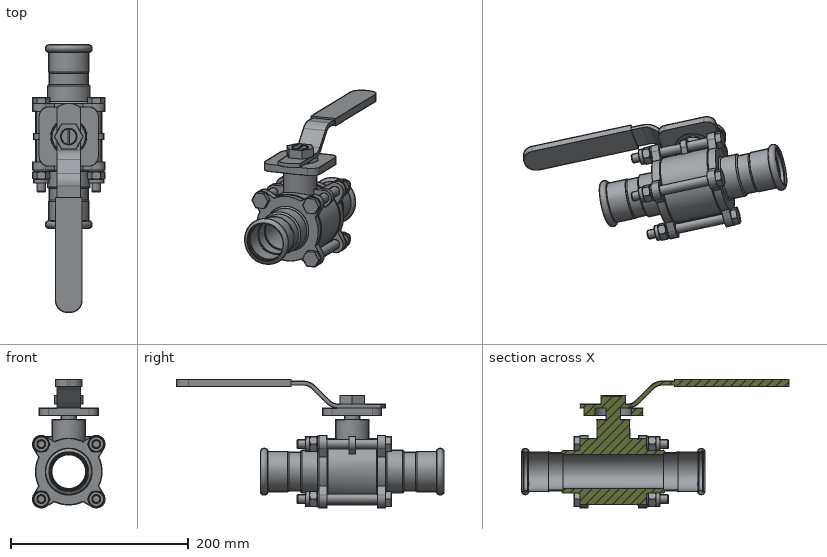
import cadquery as cq
import math


width_x = 81.52
overall_height = 144.76
overall_length = 301.5
pipe_length = 207.0
top_z = overall_height - width_x / 2
handle_end_y = pipe_length / 2 - overall_length

body_diameter = 75.0
flange_inner_y = 28.4
flange_outer_y = 37.5
seam_width = 1.0
seam_depth = 0.8
bore_diameter = 38.0

bolt_circle_diameter = 87.5
diagonal_angle = 45.0
bolt_offset = bolt_circle_diameter / 2 * math.sin(math.radians(diagonal_angle))
flange_lug_radius = width_x / 2 - bolt_offset
lug_flank_angle = 30.0
rod_diameter = 11.0
bolt_diameter = 10.0
bolt_end_y = 62.2
bolt_chamfer = 1.0
hex_flats = 17.0
head_height = 6.5
washer_diameter = 18.0
washer_end_y = 39.3
nut_end_y = 48.2
nut_chamfer_length = 1.3
nut_face_diameter = 16.4
collar_end_y = 52.5

middle_lug_diameter = 17.0
middle_lug_width = 7.0

neck_diameter = 48.3
neck_root_flare = 1.8
neck_end_y = 56.8
middle_tube_diameter = 44.0
middle_tube_start_y = 58.5
middle_tube_end_y = 71.3
press_tube_diameter = 45.4
press_tube_start_y = 73.0
bead_diameter = 52.8
bead_width = 8.8
mouth_diameter = 44.0
mouth_depth = 2.0
seal_diameter = 42.4
seal_width = 4.0
seal_groove_diameter = 45.4
seal_groove_width = 6.0
socket_diameter = 42.7
inner_tube_diameter = 40.5

boss_diameter = 37.5
boss_top_z = 58.7
stem_diameter = 17.0
plate_size = 66.5
plate_corner_radius = 10.5
plate_bottom_z = 63.1
plate_top_z = 71.5
plate_hole_diameter = 40.5

stem_nut_flats = 28.0
stem_nut_height = 10.0
stem_ring_outer_diameter = 18.5
stem_ring_depth = 1.0
stem_slot_width = 1.2

lever_width = 26.6
lever_thickness = 4.5
lever_back_y = 37.4
lever_back_radius = 21.0
first_bend_start_y = -15.2
bend_angle = 45.0
bend_inner_radius = 15.0
handle_width = 30.0
handle_height = 8.4
handle_start_y = -68.7
handle_corner_radius = 13.5

lever_top_z = plate_top_z + lever_thickness


def y_cylinder(diameter, y_start, y_end, x=0, z=0):
    """Cylinder parallel to Y."""
    axis_plane = cq.Plane(origin=(x, y_start, z), xDir=(1, 0, 0), normal=(0, 1, 0))
    return cq.Workplane(axis_plane).circle(diameter / 2).extrude(y_end - y_start)


def z_cylinder(diameter, z_start, z_end):
    """Cylinder on the stem axis."""
    return cq.Workplane("XY").workplane(offset=z_start).circle(diameter / 2).extrude(z_end - z_start)


def across_corners(flats):
    """Corner-to-corner size of a regular hexagon."""
    return flats * 2 / math.sqrt(3)


def y_hexagon(y_start, y_end):
    """Bolt-sized hexagonal prism along Y with flats facing up and down."""
    start_plane = cq.Plane(origin=(0, y_start, 0), xDir=(1, 0, 0), normal=(0, 1, 0))
    return cq.Workplane(start_plane).polygon(6, across_corners(hex_flats)).extrude(y_end - y_start)


def revolve_about_y(profile):
    return profile.close().revolve(360, (0, 0, 0), (0, 1, 0))


def flange_lug(angle):
    """Rounded lug on the first-quadrant diagonal with splayed flanks, turned about Y."""
    flank = math.radians(lug_flank_angle)
    tangent_near = bolt_offset + flange_lug_radius * math.cos(flank)
    tangent_far = bolt_offset - flange_lug_radius * math.sin(flank)
    rounded_tip = bolt_offset + flange_lug_radius * math.sin(math.radians(diagonal_angle))
    foot = tangent_near - tangent_far * math.tan(flank)
    outline = (
        cq.Workplane("XZ", origin=(0, flange_outer_y, 0))
        .moveTo(0, 0)
        .lineTo(0, foot)
        .lineTo(tangent_far, tangent_near)
        .threePointArc((rounded_tip, rounded_tip), (tangent_near, tangent_far))
        .lineTo(foot, 0)
        .close()
    )
    lug = outline.extrude(flange_outer_y - flange_inner_y)
    return lug.rotate((0, 0, 0), (0, 1, 0), angle)


def make_end_flange():
    flange = y_cylinder(body_diameter, flange_inner_y, flange_outer_y)
    for angle in (0, 90, 180, 270):
        flange = flange.union(flange_lug(angle))
    return flange


def make_press_end():
    """Neck, tube and rounded bead of one end, solid."""
    pipe_end_y = pipe_length / 2
    bead_start_y = pipe_end_y - bead_width
    bead_middle_y = pipe_end_y - bead_width / 2
    bead_side_radius = bead_diameter / 2 - bead_width / 2
    profile = (
        cq.Workplane("XY")
        .moveTo(0, flange_inner_y)
        .lineTo(neck_diameter / 2 + neck_root_flare, flange_inner_y)
        .lineTo(neck_diameter / 2 + neck_root_flare, flange_outer_y)
        .lineTo(neck_diameter / 2, flange_outer_y + neck_root_flare)
        .lineTo(neck_diameter / 2, neck_end_y)
        .lineTo(middle_tube_diameter / 2, middle_tube_start_y)
        .lineTo(middle_tube_diameter / 2, middle_tube_end_y)
        .lineTo(press_tube_diameter / 2, press_tube_start_y)
        .lineTo(press_tube_diameter / 2, bead_start_y)
        .threePointArc((bead_diameter / 2, bead_middle_y), (bead_side_radius, pipe_end_y))
        .lineTo(0, pipe_end_y)
    )
    return revolve_about_y(profile)


def make_press_end_bore():
    """Stepped cavity of one end: mouth, groove with its seal ring, pipe socket and inner tube."""
    pipe_end_y = pipe_length / 2
    groove_outer_y = pipe_end_y - mouth_depth
    groove_inner_y = groove_outer_y - seal_groove_width
    seal_gap = (seal_groove_width - seal_width) / 2
    return (
        y_cylinder(mouth_diameter, groove_outer_y, pipe_end_y)
        .union(y_cylinder(seal_groove_diameter, groove_outer_y - seal_gap, groove_outer_y))
        .union(y_cylinder(seal_diameter, groove_inner_y + seal_gap, groove_outer_y - seal_gap))
        .union(y_cylinder(seal_groove_diameter, groove_inner_y, groove_inner_y + seal_gap))
        .union(y_cylinder(socket_diameter, press_tube_start_y, groove_inner_y))
        .union(y_cylinder(inner_tube_diameter, neck_end_y, press_tube_start_y))
    )


def on_both_ends(shape):
    return shape.union(shape.mirror("XZ"))


def make_nut():
    """Hexagon nut along -Y with both ends bevelled down to a round face."""
    corner_radius = across_corners(hex_flats) / 2
    face_radius = nut_face_diameter / 2
    bevel = (
        cq.Workplane("XY")
        .moveTo(0, -washer_end_y)
        .lineTo(face_radius, -washer_end_y)
        .lineTo(corner_radius, -washer_end_y - nut_chamfer_length)
        .lineTo(corner_radius, -nut_end_y + nut_chamfer_length)
        .lineTo(face_radius, -nut_end_y)
        .lineTo(0, -nut_end_y)
    )
    return y_hexagon(-nut_end_y, -washer_end_y).intersect(revolve_about_y(bevel))


def make_bolt():
    """Hexagon bolt with head at +Y and washer, nut and locking collar at -Y."""
    rod = y_cylinder(rod_diameter, -flange_outer_y, flange_outer_y)
    tip = y_cylinder(bolt_diameter, -bolt_end_y, -flange_outer_y).faces("<Y").chamfer(bolt_chamfer)
    head = y_hexagon(flange_outer_y, flange_outer_y + head_height)
    washer = y_cylinder(washer_diameter, -washer_end_y, -flange_outer_y)
    collar = y_cylinder(hex_flats, -collar_end_y, -nut_end_y)
    return rod.union(tip).union(head).union(washer).union(make_nut()).union(collar)


def make_middle_lugs():
    """Flat-topped bar across the body with a rounded lug around each upper bolt."""
    half_width = middle_lug_width / 2
    lug_radius = middle_lug_diameter / 2
    lug_top = bolt_offset + lug_radius
    bar = cq.Workplane("XY").box(2 * bolt_offset, middle_lug_width, lug_top, centered=(True, True, False))
    web_length = bolt_circle_diameter / 2
    for side in (-1, 1):
        lug = y_cylinder(middle_lug_diameter, -half_width, half_width, side * bolt_offset, bolt_offset)
        web = (
            cq.Workplane("XY")
            .box(middle_lug_diameter, middle_lug_width, web_length, centered=(True, True, False))
            .rotate((0, 0, 0), (0, 1, 0), side * diagonal_angle)
        )
        outer_clearance = (
            cq.Workplane("XY")
            .box(bolt_offset, middle_lug_width, 2 * bolt_offset)
            .translate((lug_radius + bolt_offset / 2, 0, 0))
            .rotate((0, 0, 0), (0, 1, 0), diagonal_angle)
        )
        if side < 0:
            outer_clearance = outer_clearance.mirror("YZ")
        bar = bar.cut(outer_clearance).union(lug).union(web)
    return bar


def make_plate():
    height = plate_top_z - plate_bottom_z
    plate = cq.Workplane("XY").box(plate_size, plate_size, height, centered=(True, True, False))
    plate = plate.edges("|Z").fillet(plate_corner_radius).translate((0, 0, plate_bottom_z))
    return plate.cut(z_cylinder(plate_hole_diameter, plate_bottom_z, plate_top_z))


def make_lever():
    """Flat strip cranked upward by two equal bends, rounded at its back end."""
    angle = math.radians(bend_angle)
    sine, cosine = math.sin(angle), math.cos(angle)
    half_sine, half_cosine = math.sin(angle / 2), math.cos(angle / 2)
    outer_radius = bend_inner_radius + lever_thickness
    upper_top_z = top_z - (handle_height - lever_thickness) / 2
    first_centre = (first_bend_start_y, lever_top_z + bend_inner_radius)
    second_centre_z = upper_top_z - outer_radius
    centre_drop = first_centre[1] - second_centre_z
    centre_run = (bend_inner_radius + outer_radius - centre_drop * cosine) / sine
    second_centre = (first_centre[0] - centre_run, second_centre_z)

    def first_bend(radius, s, c):
        return (first_centre[0] - radius * s, first_centre[1] - radius * c)

    def second_bend(radius, s, c):
        return (second_centre[0] + radius * s, second_centre[1] + radius * c)

    side_outline = (
        cq.Workplane("YZ", origin=(-lever_width / 2, 0, 0))
        .moveTo(lever_back_y, lever_top_z)
        .lineTo(*first_bend(bend_inner_radius, 0, 1))
        .threePointArc(
            first_bend(bend_inner_radius, half_sine, half_cosine),
            first_bend(bend_inner_radius, sine, cosine),
        )
        .lineTo(*second_bend(outer_radius, sine, cosine))
        .threePointArc(second_bend(outer_radius, half_sine, half_cosine), second_bend(outer_radius, 0, 1))
        .lineTo(handle_start_y, upper_top_z)
        .lineTo(handle_start_y, upper_top_z - lever_thickness)
        .lineTo(*second_bend(bend_inner_radius, 0, 1))
        .threePointArc(
            second_bend(bend_inner_radius, half_sine, half_cosine),
            second_bend(bend_inner_radius, sine, cosine),
        )
        .lineTo(*first_bend(outer_radius, sine, cosine))
        .threePointArc(first_bend(outer_radius, half_sine, half_cosine), first_bend(outer_radius, 0, 1))
        .lineTo(lever_back_y, plate_top_z)
        .close()
    )
    strip = side_outline.extrude(lever_width)
    half_width = lever_width / 2
    back_side_y = lever_back_y - lever_back_radius + math.sqrt(lever_back_radius**2 - half_width**2)
    plan = (
        cq.Workplane("XY")
        .moveTo(-half_width, handle_start_y)
        .lineTo(half_width, handle_start_y)
        .lineTo(half_width, back_side_y)
        .threePointArc((0, lever_back_y), (-half_width, back_side_y))
        .close()
        .extrude(top_z)
    )
    return strip.intersect(plan)


def make_handle():
    length = handle_start_y - handle_end_y
    grip = cq.Workplane("XY").box(handle_width, length, handle_height)
    grip = grip.edges("|Z and <Y").fillet(handle_corner_radius)
    return grip.translate((0, handle_end_y + length / 2, top_z - handle_height / 2))


def make_stem_nut():
    """Lever nut with the slotted stem end flush in its top face."""
    nut_top_z = lever_top_z + stem_nut_height
    corner_diameter = across_corners(stem_nut_flats)
    nut_plane = cq.Workplane("XY").workplane(offset=lever_top_z)
    nut = nut_plane.polygon(6, corner_diameter).extrude(stem_nut_height)
    recess_z = nut_top_z - stem_ring_depth
    ring = z_cylinder(stem_ring_outer_diameter, recess_z, nut_top_z)
    ring = ring.cut(z_cylinder(stem_diameter, recess_z, nut_top_z))
    slot = (
        cq.Workplane("XY")
        .box(stem_slot_width, stem_diameter, stem_ring_depth, centered=(True, True, False))
        .translate((0, 0, recess_z))
    )
    return nut.cut(ring).cut(slot)


def make_body():
    body = y_cylinder(body_diameter, -flange_inner_y, flange_inner_y)
    seam = y_cylinder(body_diameter, flange_inner_y - seam_width, flange_inner_y)
    seam = seam.cut(y_cylinder(body_diameter - 2 * seam_depth, flange_inner_y - seam_width, flange_inner_y))
    return body.cut(on_both_ends(seam))


valve = (
    make_body()
    .union(on_both_ends(make_end_flange()))
    .union(on_both_ends(make_press_end()))
    .union(make_middle_lugs())
    .union(z_cylinder(boss_diameter, 0, boss_top_z))
)
valve = valve.cut(on_both_ends(make_press_end_bore()))
valve = valve.cut(y_cylinder(bore_diameter, -neck_end_y, neck_end_y))

bolt = make_bolt()
for x_side in (-1, 1):
    for z_side in (-1, 1):
        valve = valve.union(bolt.translate((x_side * bolt_offset, 0, z_side * bolt_offset)))

result = (
    valve.union(z_cylinder(stem_diameter, boss_top_z, lever_top_z))
    .union(make_plate())
    .union(make_lever())
    .union(make_handle())
    .union(make_stem_nut())
)